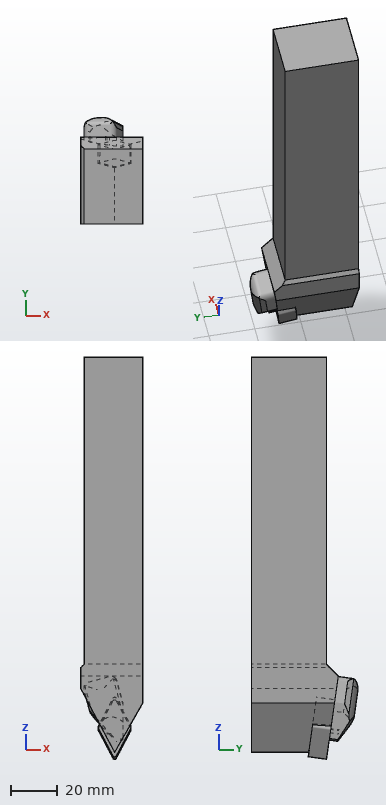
import cadquery as cq
import math


shank_width = 25.0
shank_depth = 32.0
overall_length = 171.35
head_overhang_x = 1.53
head_overhang_y = 5.0
head_step_z = 40.6
tip_from_right_side = 12.03
head_tip_z = 3.05
right_shoulder_z = 24.0
left_shoulder_z = 30.2

rake_angle = 8.0
insert_inscribed_diameter = 12.7
insert_point_angle = 55.0
insert_thickness = 7.94
insert_nose_radius = 0.8

clamp_angle = 15.0
clamp_top_offset_x = -6.7
clamp_top_above_insert = 21.6
clamp_width = 14.5
clamp_length = 27.2
clamp_wall_length = 12.2
clamp_taper_angle = 27.0
clamp_nose_width = 3.0
clamp_height = 9.17
clamp_wall_height = 4.3
clamp_bevel_top = 6.7
clamp_bevel_inset = 1.0
clamp_nose_height = 3.6
clamp_flat_length = 15.5
clamp_corner_radius = 5.16 / 2
clamp_roof_radius = 3.9

pad_length = 2.9
pad_width = 3.0
pad_height = 3.4
pad_top_from_insert = -1.5
pad_tip_x = -4.0

half_point = math.radians(insert_point_angle / 2)
half_long_diagonal = insert_inscribed_diameter / 2 / math.sin(half_point)
half_short_diagonal = insert_inscribed_diameter / 2 / math.cos(half_point)
nose_setback = insert_nose_radius * (1 / math.sin(half_point) - 1)
nose_reach = half_long_diagonal - nose_setback
rake = math.radians(rake_angle)
insert_centre_z = nose_reach * math.cos(rake)
insert_centre_y = shank_depth + nose_reach * math.sin(rake)

head_face = cq.Plane(
    origin=(0, insert_centre_y, insert_centre_z),
    xDir=(1, 0, 0),
    normal=(0, math.cos(rake), -math.sin(rake)),
)

right_x = tip_from_right_side
shank_left_x = right_x - shank_width
head_left_x = shank_left_x - head_overhang_x
head_depth = shank_depth + head_overhang_y


def make_holder_blank():
    """Square shank and pointed head, with 45 degree steps between them."""
    front_outline = [
        (right_x, overall_length),
        (shank_left_x, overall_length),
        (shank_left_x, head_step_z),
        (head_left_x, head_step_z - head_overhang_x),
        (head_left_x, left_shoulder_z),
        (0, head_tip_z),
        (right_x, right_shoulder_z),
    ]
    side_corner_z = head_step_z - head_overhang_y
    face_bottom_y = insert_centre_y - insert_centre_z * math.tan(rake)
    face_top_y = face_bottom_y + side_corner_z * math.tan(rake)
    side_outline = [
        (0, 0),
        (0, overall_length),
        (shank_depth, overall_length),
        (shank_depth, head_step_z),
        (face_top_y, side_corner_z),
        (face_bottom_y, 0),
    ]
    front = cq.Workplane("XZ").polyline(front_outline).close().extrude(-head_depth)
    side = (
        cq.Workplane("YZ", origin=(head_left_x, 0, 0))
        .polyline(side_outline)
        .close()
        .extrude(shank_width + head_overhang_x)
    )
    return front.intersect(side)


def make_insert():
    """Rhombic plate with rounded corners."""
    corners = [
        (0, half_long_diagonal),
        (half_short_diagonal, 0),
        (0, -half_long_diagonal),
        (-half_short_diagonal, 0),
    ]
    plate = cq.Workplane(head_face).polyline(corners).close().extrude(-insert_thickness)
    side_edges = cq.selectors.ParallelDirSelector(head_face.zDir)
    return plate.edges(side_edges).fillet(insert_nose_radius)


def make_clamp():
    """Finger with a tapering nose and a roof that slopes down to it."""
    turned = cq.Plane(
        origin=head_face.toWorldCoords((clamp_top_offset_x, -clamp_top_above_insert, 0)),
        xDir=head_face.xDir,
        normal=head_face.zDir,
    ).rotated((0, 0, -clamp_angle))
    half_width = clamp_width / 2
    taper = (clamp_length - clamp_wall_length) * math.tan(math.radians(clamp_taper_angle))
    nose_left = taper - half_width
    plan_outline = [
        (-half_width, 0),
        (half_width, 0),
        (half_width, clamp_wall_length),
        (nose_left + clamp_nose_width, clamp_length),
        (nose_left, clamp_length),
        (-half_width, clamp_wall_length),
    ]
    plan = cq.Workplane("XY").polyline(plan_outline).close().extrude(clamp_height)
    plan = plan.faces("<Y").edges("|Z").fillet(clamp_corner_radius)

    side = (
        cq.Workplane("YZ", origin=(-half_width, 0, 0))
        .lineTo(0, clamp_height - clamp_roof_radius)
        .radiusArc((clamp_roof_radius, clamp_height), clamp_roof_radius)
        .lineTo(clamp_flat_length, clamp_height)
        .lineTo(clamp_length, clamp_nose_height)
        .lineTo(clamp_length, 0)
        .close()
        .extrude(clamp_width)
    )

    half_crown = half_width - clamp_bevel_inset
    section = (
        cq.Workplane("XZ")
        .moveTo(-half_width, 0)
        .lineTo(-half_width, clamp_wall_height)
        .lineTo(-half_crown, clamp_bevel_top)
        .threePointArc((0, clamp_height), (half_crown, clamp_bevel_top))
        .lineTo(half_width, clamp_wall_height)
        .lineTo(half_width, 0)
        .close()
        .extrude(-clamp_length)
    )
    finger = plan.intersect(side).intersect(section)
    return cq.Workplane(finger.val().moved(cq.Location(turned)))


def make_pad():
    """Small block beside the clamp nose, standing on the insert."""
    corner_y = pad_top_from_insert + pad_length / 2
    flank_inset = pad_length / 2 * math.tan(half_point)
    outline = [
        (pad_tip_x + pad_width, pad_top_from_insert),
        (pad_tip_x + flank_inset, pad_top_from_insert),
        (pad_tip_x, corner_y),
        (pad_tip_x + flank_inset, pad_top_from_insert + pad_length),
        (pad_tip_x + pad_width, pad_top_from_insert + pad_length),
    ]
    return cq.Workplane(head_face).polyline(outline).close().extrude(pad_height)


insert = make_insert()
holder = make_holder_blank().cut(insert).union(make_clamp()).union(make_pad())

result = cq.Compound.makeCompound([holder.val(), insert.val()])